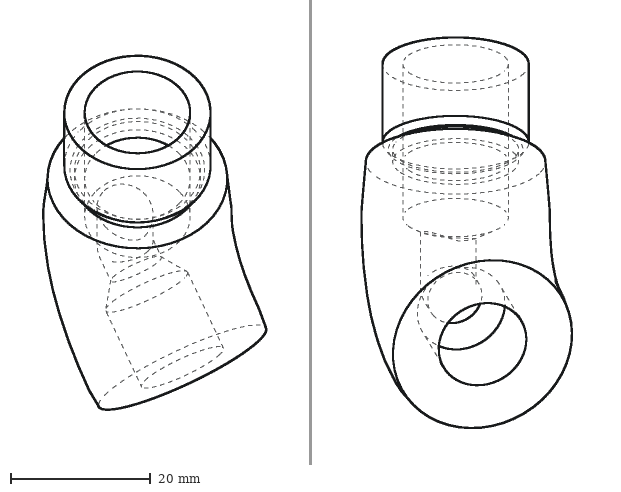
import cadquery as cq
import math


nipple_dia = 20.95
neck_dia = 18.05
chamfer_end_dia = 19.3
chamfer_top_z = -12.05
chamfer_end_z = -13.15
shoulder_z = -15.0

shoulder_dia = 25.75
elbow_dia = 27.0
outlet_dia = 26.5
skirt_end_z = -22.5
bend_start_z = -23.6
bend_radius = 30.2
bend_angle = 45.0
outlet_length = 2.9

inlet_bore_dia = 15.1
drill_point_angle = 118.0
passage_dia = 8.0
passage_offset = -3.0
outlet_bore_dia = 12.95
outlet_bore_depth = 12.25
flare_length = 3.6

bend_rad = math.radians(bend_angle)
outlet_direction = cq.Vector(math.sin(bend_rad), 0, -math.cos(bend_rad))
bend_end = cq.Vector(
    bend_radius * (1 - math.cos(bend_rad)),
    0,
    bend_start_z - bend_radius * math.sin(bend_rad),
)
outlet_center = bend_end + outlet_direction * outlet_length

turn_distance = (outlet_center.x - passage_offset) / math.sin(bend_rad)
turn_center = outlet_center - outlet_direction * turn_distance


def make_nipple():
    """Chamfered tube with a narrower neck that stands on the elbow shoulder."""
    profile = [
        (inlet_bore_dia / 2, 0),
        (nipple_dia / 2, 0),
        (nipple_dia / 2, chamfer_top_z),
        (chamfer_end_dia / 2, chamfer_end_z),
        (neck_dia / 2, chamfer_end_z),
        (neck_dia / 2, shoulder_z),
        (inlet_bore_dia / 2, shoulder_z),
    ]
    return cq.Workplane("XZ").polyline(profile).close().revolve(360, (0, 0), (0, 1))


def make_elbow_outside():
    """Flared skirt, straight band, bend and slightly tapered outlet."""
    skirt = (
        cq.Workplane("XZ")
        .moveTo(0, shoulder_z)
        .lineTo(shoulder_dia / 2, shoulder_z)
        .lineTo(elbow_dia / 2, skirt_end_z)
        .lineTo(elbow_dia / 2, bend_start_z)
        .lineTo(0, bend_start_z)
        .close()
        .revolve(360, (0, 0), (0, 1))
    )
    bend = (
        cq.Workplane("XY", origin=(0, 0, bend_start_z))
        .circle(elbow_dia / 2)
        .revolve(bend_angle, (bend_radius, 0), (bend_radius, -1))
    )
    outlet = cq.Solid.makeCone(
        elbow_dia / 2, outlet_dia / 2, outlet_length, bend_end, outlet_direction
    )
    return skirt.union(bend).union(cq.Workplane(outlet))


def make_inlet_bore():
    """Straight bore with a drill-point bottom."""
    radius = inlet_bore_dia / 2
    point_z = bend_start_z - radius / math.tan(math.radians(drill_point_angle / 2))
    profile = [(0, shoulder_z), (radius, shoulder_z), (radius, bend_start_z), (0, point_z)]
    return cq.Workplane("XZ").polyline(profile).close().revolve(360, (0, 0), (0, 1))


def make_passage():
    """Vertical drop, ball-shaped turn and inclined bore that flares to the outlet."""
    radius = passage_dia / 2
    outlet_bore_start = outlet_center - outlet_direction * outlet_bore_depth
    flare_start = outlet_bore_start - outlet_direction * flare_length
    drop = cq.Solid.makeCylinder(
        radius, bend_start_z - turn_center.z, turn_center, cq.Vector(0, 0, 1)
    )
    turn = cq.Workplane("XY", origin=turn_center.toTuple()).sphere(radius)
    inclined = cq.Solid.makeCylinder(
        radius, (outlet_center - turn_center).Length, turn_center, outlet_direction
    )
    flare = cq.Solid.makeCone(
        radius, outlet_bore_dia / 2, flare_length, flare_start, outlet_direction
    )
    outlet_bore = cq.Solid.makeCylinder(
        outlet_bore_dia / 2, outlet_bore_depth, outlet_bore_start, outlet_direction
    )
    passage = turn
    for section in (drop, inclined, flare, outlet_bore):
        passage = passage.union(cq.Workplane(section))
    return passage


def make_elbow():
    """Elbow body with its inlet bore and outlet passage."""
    return make_elbow_outside().cut(make_inlet_bore()).cut(make_passage())


nipple = make_nipple()
elbow = make_elbow()

result = cq.Compound.makeCompound([nipple.val(), *elbow.solids().vals()])